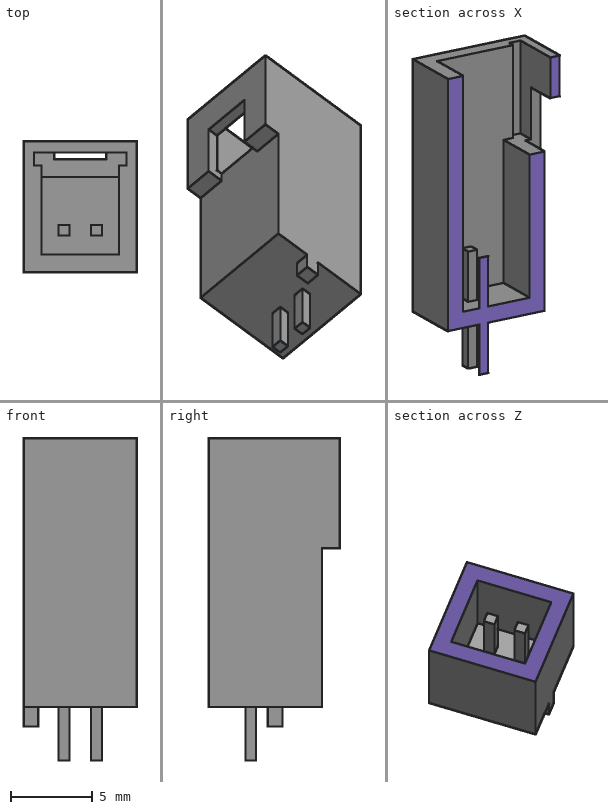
import cadquery as cq

width = 7.0
column_depth = 7.0
head_depth = 8.1
housing_height = 16.6
head_height = 6.8

wall = 1.1
floor_thickness = wall
cavity_width = width - 2 * wall
cavity_depth = column_depth - 2 * wall

head_back_wall = 0.7
groove_width = 5.7
groove_depth = 0.8
ledge_thickness = 0.7

window_width = 3.2
window_top_drop = 2.7

pin_count = 2
pin_pitch = 2.0
pin_width = 0.7
pin_thickness = 0.65
pin_y = 2.6
pin_tail = 3.3
pin_contact_length = 3.3

peg_size = 0.92
peg_height = 1.2
peg_y = 4.1

head_bottom = housing_height - head_height
ledge_top = head_bottom + ledge_thickness
recess_back = head_depth - head_back_wall
window_top = housing_height - window_top_drop


def box(size_x, y_range, z_range, center_x=0.0):
    """Block centred on center_x that spans the given Y and Z ranges."""
    y_start, y_end = y_range
    z_start, z_end = z_range
    block = cq.Workplane("XY").box(size_x, y_end - y_start, z_end - z_start, centered=(True, False, False))
    return block.translate((center_x, y_start, z_start))


def centered_range(center, size):
    return (center - size / 2, center + size / 2)


def make_housing():
    column = box(width, (0, column_depth), (0, housing_height))
    head = box(width, (0, head_depth), (head_bottom, housing_height))
    return column.union(head)


def cut_cavity(body):
    cavity = box(cavity_width, (wall, wall + cavity_depth), (floor_thickness, housing_height))
    return body.cut(cavity)


def cut_latch_recess(body):
    recess_z = (ledge_top, housing_height)
    recess = box(cavity_width, (wall, recess_back), recess_z)
    grooves = box(groove_width, (recess_back - groove_depth, recess_back), recess_z)
    return body.cut(recess).cut(grooves)


def cut_window(body):
    window = box(window_width, (column_depth, head_depth), (head_bottom, window_top))
    return body.cut(window)


def add_pins(body):
    pin_z = (-pin_tail, floor_thickness + pin_contact_length)
    for index in range(pin_count):
        pin_x = (index - (pin_count - 1) / 2) * pin_pitch
        body = body.union(box(pin_width, centered_range(pin_y, pin_thickness), pin_z, pin_x))
    return body


def add_peg(body):
    peg_x = (peg_size - width) / 2
    peg = box(peg_size, centered_range(peg_y, peg_size), (-peg_height, 0), peg_x)
    return body.union(peg)


housing = make_housing()
housing = cut_cavity(housing)
housing = cut_latch_recess(housing)
housing = cut_window(housing)
result = add_peg(add_pins(housing))